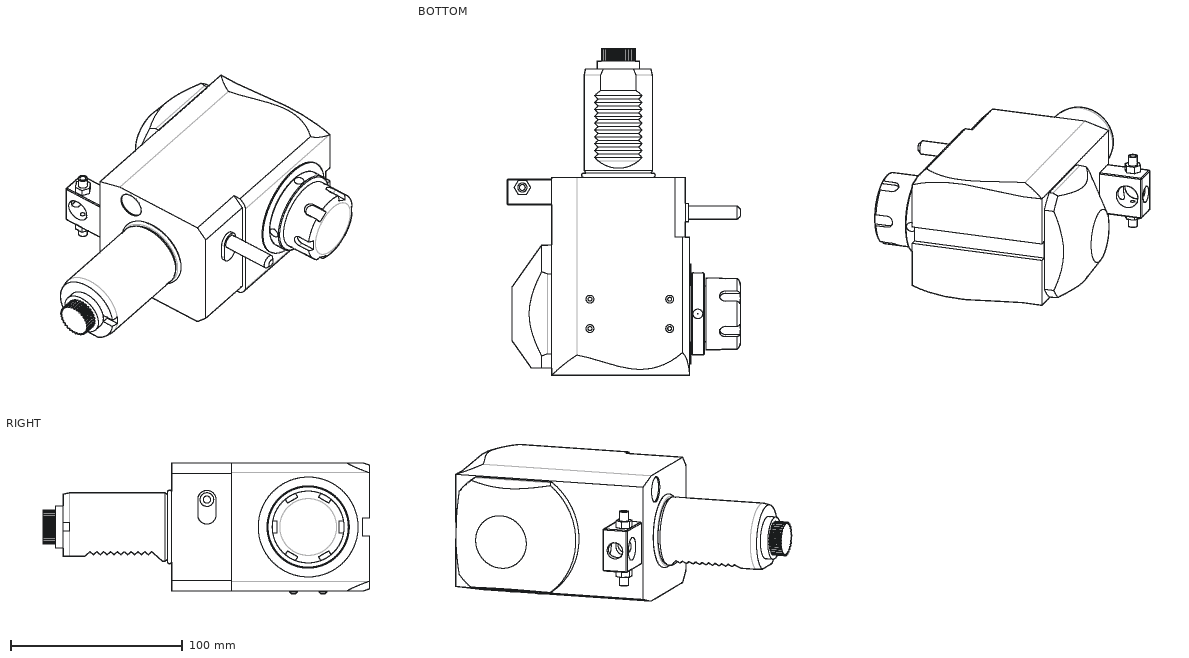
import cadquery as cq
import math


HALF_HEIGHT = 37.5
REAR_Y = 115.7
LEFT_X = -39.0
SIDE_SLOPE = 15.0
SLOPE_WIDTH = 14.7
STEP_Y = 35.0
FRONT_RIGHT_X = 39.2
FRONT_CHAMFER = 6.1
REAR_RIGHT_X = 41.6
REAR_CORNER_WIDTH = 4.2
REAR_CORNER_HEIGHT = 5.5
REAR_CORNER_BULGE = 0.8
SLOPE_END_X = LEFT_X + SLOPE_WIDTH
LEFT_HALF_HEIGHT = HALF_HEIGHT - SLOPE_WIDTH * math.tan(math.radians(SIDE_SLOPE))
REAR_CORNER_X = REAR_RIGHT_X - REAR_CORNER_WIDTH

RELIEF_RUN = 3.0
RELIEF_CREST_X = 12.5
RELIEF_CREST_Z = 36.3
RELIEF_RIGHT_Z = 33.0
RELIEF_END_Z = 31.0
REAR_SLOT_WIDTH = 10.3
REAR_SLOT_DEPTH = 4.0

PLUG_X = -16.0
PLUG_Z = 27.7
PLUG_RADIUS = 7.5
PLUG_DEPTH = 0.8

COLLAR_RADIUS = 21.5
COLLAR_LENGTH = 2.5
NECK_RADIUS = 19.1
NECK_END = 4.0
SHANK_RADIUS = 20.0
SHANK_END = 63.5
SHANK_TAPER_LENGTH = 3.6
SHANK_TIP_RADIUS = 19.3
BOSS_RADIUS = 12.5
BOSS_END = 68.0
SPLINE_END = 75.3
SPLINE_TEETH = 30
SPLINE_TIP_RADIUS = 10.0
SPLINE_ROOT_RADIUS = 9.2
SPLINE_TIP_SHARE = 0.3
SPLINE_ROOT_SHARE = 0.7
KEY_SLOT_WIDTH = 5.0
KEY_SLOT_DEPTH = 3.8

RACK_START = 5.3
RACK_FIRST_TOOTH = 11.7
RACK_PITCH = 4.0
RACK_TEETH = 9
RACK_ROOT_Z = -14.5
RACK_TIP_Z = -16.2
TAIL_FLAT_Z = -17.2
TAIL_FLAT_START = 50.8

SPINDLE_Y = 79.8
COVER_RADIUS = 40.3
COVER_RIM_X = -44.9
COVER_END_X = -62.3
COVER_END_RADIUS = 15.7
COVER_HALF_HEIGHT = 32.9
COVER_REAR = 31.7
COVER_CORNER = 7.3

BLOCK_END_X = -65.1
BLOCK_FRONT_Y = 1.0
BLOCK_REAR_Y = 16.0
BLOCK_HALF_HEIGHT = 12.6
BLOCK_CHAMFER = 0.5
NOZZLE_X = -56.2
NOZZLE_RADIUS = 6.7
BLOCK_BORE_RADIUS = 4.8
BLOCK_BORE_END_X = -45.8
COOLANT_RADIUS = 1.5
SCREW_Y = 6.0
SCREW_NUT_DIAMETER = 9.5
SCREW_NUT_HEIGHT = 4.0
SCREW_RADIUS = 2.7
SCREW_HALF_SPAN = 22.0
SCREW_SOCKET_RADIUS = 1.7
SCREW_SOCKET_DEPTH = 2.9
SCREW_BORE_RADIUS = 1.3
SCREW_BORE_HALF_SPAN = 9.5

FLANGE_RADIUS = 29.2
FLANGE_END_X = 42.4
RING_RADIUS = 24.0
RING_START_X = 42.8
RING_END_X = 50.2
RING_CHAMFER = 0.5
RING_HOLES = 4
RING_HOLE_RADIUS = 2.9
RING_HOLE_DEPTH = 3.8
RING_HOLE_TAPER = 35.0
SPINDLE_NECK_RADIUS = 16.5
NUT_RADIUS = 21.0
NUT_START_X = 51.2
NUT_END_X = 71.5
NUT_SHOULDER_X = 69.5
NUT_SHOULDER_BULGE = 0.5
NUT_FACE_RADIUS = 16.6
NUT_SLOTS = 6
NUT_SLOT_WIDTH = 6.9
NUT_SLOT_START_X = 59.2
NUT_SLOT_DEPTH = 2.9

PIN_Y = 20.6
PIN_Z = 16.0
PIN_RADIUS = 4.0
PIN_END_X = 71.5
PIN_TIP_LENGTH = 2.0
PIN_TIP_INSET = 2.0
PIN_PAD_RADIUS = 5.3
PIN_PAD_LENGTH = 9.0
PIN_PAD_THICKNESS = 2.0

RIVET_CENTER_X = 6.7
RIVET_SPACING_X = 46.6
RIVET_SPACING_Y = 17.2
RIVET_RADIUS = 2.3
RIVET_HEIGHT = 1.7
RIVET_CHAMFER = 1.1

OVERLAP = 1.0
CLEARANCE = 2.0


def cylinder_x(radius, x_start, x_end, y=SPINDLE_Y, z=0.0):
    return cq.Workplane("YZ", origin=(x_start, y, z)).circle(radius).extrude(x_end - x_start)


def cylinder_y(radius, y_start, y_end, x=0.0, z=0.0):
    """Cylinder running toward -Y from y_start to y_end."""
    return cq.Workplane("XZ", origin=(x, y_start, z)).circle(radius).extrude(y_start - y_end)


def both_halves(piece):
    return piece.union(piece.mirror("XY"))


def turn_about_spindle(piece, angle):
    return piece.rotate((0, SPINDLE_Y, 0), (1, SPINDLE_Y, 0), angle)


def left_half_outline(y):
    return (
        cq.Workplane("XZ", origin=(0, y, 0))
        .moveTo(0, 0)
        .lineTo(LEFT_X, 0)
        .lineTo(LEFT_X, LEFT_HALF_HEIGHT)
        .lineTo(SLOPE_END_X, HALF_HEIGHT)
    )


def rear_relief():
    """Space above the curved ramp at the rear edge of the top face."""
    top = HALF_HEIGHT + CLEARANCE
    far_left = LEFT_X - CLEARANCE
    far_right = REAR_RIGHT_X + CLEARANCE
    profile = (
        cq.Workplane("XZ", origin=(0, REAR_Y, 0))
        .moveTo(far_left, top)
        .lineTo(LEFT_X, LEFT_HALF_HEIGHT)
        .spline(
            [
                (SLOPE_END_X, LEFT_HALF_HEIGHT),
                (RELIEF_CREST_X, RELIEF_CREST_Z),
                (REAR_CORNER_X, RELIEF_RIGHT_Z),
                (far_right, RELIEF_END_Z),
            ],
            includeCurrent=True,
        )
        .lineTo(far_right, top)
        .close()
    )
    rise = HALF_HEIGHT - RELIEF_RIGHT_Z + CLEARANCE
    ramp = cq.Vector(0, -rise * RELIEF_RUN, rise)
    return cq.Workplane(cq.Solid.extrudeLinear(profile.val(), [], ramp))


def housing():
    front = (
        left_half_outline(STEP_Y)
        .lineTo(FRONT_RIGHT_X - FRONT_CHAMFER, HALF_HEIGHT)
        .lineTo(FRONT_RIGHT_X, HALF_HEIGHT - FRONT_CHAMFER)
        .lineTo(FRONT_RIGHT_X, 0)
        .close()
        .extrude(STEP_Y)
    )
    rear = (
        left_half_outline(REAR_Y)
        .lineTo(REAR_CORNER_X, HALF_HEIGHT)
        .sagittaArc((REAR_RIGHT_X, HALF_HEIGHT - REAR_CORNER_HEIGHT), REAR_CORNER_BULGE)
        .lineTo(REAR_RIGHT_X, 0)
        .close()
        .extrude(REAR_Y - STEP_Y)
        .cut(rear_relief())
    )
    slot_length = 2 * (REAR_RIGHT_X - LEFT_X)
    slot = (
        cq.Workplane()
        .box(slot_length, 2 * REAR_SLOT_DEPTH, REAR_SLOT_WIDTH)
        .translate((0, REAR_Y, 0))
    )
    plug = cylinder_y(PLUG_RADIUS, PLUG_DEPTH, 0, PLUG_X, PLUG_Z)
    return both_halves(front.union(rear)).cut(slot).cut(plug)


def rivets():
    rivet = (
        cq.Workplane("XY", origin=(RIVET_CENTER_X, SPINDLE_Y, -HALF_HEIGHT + OVERLAP))
        .rarray(RIVET_SPACING_X, RIVET_SPACING_Y, 2, 2)
        .circle(RIVET_RADIUS)
        .extrude(-RIVET_HEIGHT - OVERLAP)
    )
    return rivet.faces("<Z").edges().chamfer(RIVET_CHAMFER)


def shank_body():
    collar_root = COLLAR_RADIUS - COLLAR_LENGTH / 2
    profile = (
        cq.Workplane("XY")
        .moveTo(0, OVERLAP)
        .lineTo(collar_root, OVERLAP)
        .lineTo(collar_root, 0)
        .threePointArc((COLLAR_RADIUS, -COLLAR_LENGTH / 2), (collar_root, -COLLAR_LENGTH))
        .lineTo(NECK_RADIUS, -COLLAR_LENGTH)
        .lineTo(SHANK_RADIUS, -NECK_END)
        .lineTo(SHANK_RADIUS, SHANK_TAPER_LENGTH - SHANK_END)
        .lineTo(SHANK_TIP_RADIUS, -SHANK_END)
        .lineTo(0, -SHANK_END)
        .close()
    )
    return profile.revolve(360, (0, 0, 0), (0, 1, 0))


def rack_cut():
    """Everything below the toothed underside, across the whole shank width."""
    below = -COLLAR_RADIUS - CLEARANCE
    points = [(-RACK_START, below), (-RACK_START, -SHANK_RADIUS)]
    for tooth in range(RACK_TEETH):
        root_y = -RACK_FIRST_TOOTH - tooth * RACK_PITCH
        points.append((root_y + RACK_PITCH / 2, RACK_TIP_Z))
        points.append((root_y, RACK_ROOT_Z))
    last_tip_y = -RACK_FIRST_TOOTH - (RACK_TEETH - 0.5) * RACK_PITCH
    points.append((last_tip_y, RACK_TIP_Z))
    points.append((last_tip_y - RACK_PITCH / 2, RACK_ROOT_Z))
    points.append((-TAIL_FLAT_START, TAIL_FLAT_Z))
    points.append((-SHANK_END - CLEARANCE, TAIL_FLAT_Z))
    points.append((-SHANK_END - CLEARANCE, below))
    return cq.Workplane("YZ").polyline(points).close().extrude(SHANK_RADIUS + CLEARANCE, both=True)


def drive_spline():
    tooth_angle = 2 * math.pi / SPLINE_TEETH
    corners = [
        (SPLINE_ROOT_RADIUS, -SPLINE_ROOT_SHARE / 2),
        (SPLINE_TIP_RADIUS, -SPLINE_TIP_SHARE / 2),
        (SPLINE_TIP_RADIUS, SPLINE_TIP_SHARE / 2),
        (SPLINE_ROOT_RADIUS, SPLINE_ROOT_SHARE / 2),
    ]
    points = []
    for tooth in range(SPLINE_TEETH):
        for radius, offset in corners:
            angle = (tooth + offset) * tooth_angle
            points.append((radius * math.cos(angle), radius * math.sin(angle)))
    start = OVERLAP - BOSS_END
    return cq.Workplane("XZ", origin=(0, start, 0)).polyline(points).close().extrude(SPLINE_END + start)


def shank():
    key_slot = (
        cq.Workplane("XZ", origin=(0, -SHANK_END, 0))
        .moveTo(BOSS_RADIUS, -KEY_SLOT_WIDTH / 2)
        .rect(SHANK_RADIUS, KEY_SLOT_WIDTH, centered=False)
        .extrude(-KEY_SLOT_DEPTH)
    )
    boss = cylinder_y(BOSS_RADIUS, OVERLAP - SHANK_END, -BOSS_END)
    return shank_body().cut(rack_cut()).cut(key_slot).union(boss).union(drive_spline())


def cover():
    dome = (
        cq.Workplane("XY", origin=(0, SPINDLE_Y, 0))
        .moveTo(LEFT_X + OVERLAP, 0)
        .lineTo(LEFT_X + OVERLAP, COVER_RADIUS)
        .lineTo(COVER_RIM_X, COVER_RADIUS)
        .lineTo(COVER_END_X, COVER_END_RADIUS)
        .lineTo(COVER_END_X, 0)
        .close()
        .revolve(360, (0, 0, 0), (1, 0, 0))
    )
    depth = COVER_RADIUS + COVER_REAR
    trim = (
        cq.Workplane()
        .box(2 * abs(COVER_END_X), depth, 2 * COVER_HALF_HEIGHT)
        .translate((0, SPINDLE_Y + COVER_REAR - depth / 2, 0))
        .edges(">Y and |X")
        .chamfer(COVER_CORNER)
    )
    slope_drop = (LEFT_X - COVER_END_X) * math.tan(math.radians(SIDE_SLOPE))
    slope_wedge = both_halves(
        cq.Workplane("XZ", origin=(0, REAR_Y, 0))
        .moveTo(COVER_END_X, 0)
        .lineTo(COVER_END_X, LEFT_HALF_HEIGHT - slope_drop)
        .lineTo(LEFT_X, LEFT_HALF_HEIGHT)
        .lineTo(SLOPE_END_X, HALF_HEIGHT)
        .lineTo(SLOPE_END_X, 0)
        .close()
        .extrude(REAR_Y)
    )
    return dome.intersect(trim).intersect(slope_wedge)


def coolant_block():
    length = LEFT_X - BLOCK_END_X
    width = BLOCK_REAR_Y - BLOCK_FRONT_Y
    middle_y = (BLOCK_REAR_Y + BLOCK_FRONT_Y) / 2
    block = (
        cq.Workplane()
        .box(length, width, 2 * BLOCK_HALF_HEIGHT)
        .translate((BLOCK_END_X + length / 2, middle_y, 0))
        .faces("<X or <Z or >Z or >Y")
        .edges("not(>X)")
        .chamfer(BLOCK_CHAMFER)
    )
    screw = (
        cq.Workplane("XY", origin=(NOZZLE_X, SCREW_Y, BLOCK_HALF_HEIGHT - OVERLAP))
        .polygon(6, SCREW_NUT_DIAMETER)
        .extrude(SCREW_NUT_HEIGHT + OVERLAP)
        .union(
            cq.Workplane("XY", origin=(NOZZLE_X, SCREW_Y, BLOCK_HALF_HEIGHT))
            .circle(SCREW_RADIUS)
            .extrude(SCREW_HALF_SPAN - BLOCK_HALF_HEIGHT)
        )
        .faces(">Z")
        .workplane(origin=(NOZZLE_X, SCREW_Y, SCREW_HALF_SPAN))
        .circle(SCREW_SOCKET_RADIUS)
        .cutBlind(-SCREW_SOCKET_DEPTH)
    )
    screw_bore = (
        cq.Workplane("XY", origin=(NOZZLE_X, SCREW_Y, 0))
        .circle(SCREW_BORE_RADIUS)
        .extrude(SCREW_BORE_HALF_SPAN, both=True)
    )
    return (
        block.union(both_halves(screw))
        .cut(cylinder_y(NOZZLE_RADIUS, BLOCK_REAR_Y, BLOCK_FRONT_Y, NOZZLE_X))
        .cut(cylinder_x(BLOCK_BORE_RADIUS, BLOCK_END_X, BLOCK_BORE_END_X, middle_y))
        .cut(cylinder_x(COOLANT_RADIUS, BLOCK_BORE_END_X, LEFT_X, middle_y))
        .cut(screw_bore)
    )


def locking_ring():
    ring = cylinder_x(RING_RADIUS, RING_START_X, RING_END_X).edges().chamfer(RING_CHAMFER)
    hole = (
        cq.Workplane("XY", origin=((RING_START_X + RING_END_X) / 2, SPINDLE_Y, RING_RADIUS))
        .circle(RING_HOLE_RADIUS)
        .extrude(-RING_HOLE_DEPTH, taper=RING_HOLE_TAPER)
    )
    for index in range(RING_HOLES):
        ring = ring.cut(turn_about_spindle(hole, index * 360 / RING_HOLES))
    return ring


def clamping_nut():
    nut = (
        cq.Workplane("XY", origin=(0, SPINDLE_Y, 0))
        .moveTo(NUT_START_X, 0)
        .lineTo(NUT_START_X, NUT_RADIUS)
        .lineTo(NUT_SHOULDER_X, NUT_RADIUS)
        .sagittaArc((NUT_END_X, NUT_FACE_RADIUS), NUT_SHOULDER_BULGE)
        .lineTo(NUT_END_X, 0)
        .close()
        .revolve(360, (0, 0, 0), (1, 0, 0))
    )
    slot_radius = NUT_SLOT_WIDTH / 2
    slot_length = NUT_END_X - NUT_SLOT_START_X + slot_radius
    slot = (
        cq.Workplane("XZ", origin=(NUT_SLOT_START_X + slot_length / 2, SPINDLE_Y - NUT_RADIUS, 0))
        .slot2D(slot_length, NUT_SLOT_WIDTH)
        .extrude(-NUT_SLOT_DEPTH)
    )
    for index in range(NUT_SLOTS):
        nut = nut.cut(turn_about_spindle(slot, index * 360 / NUT_SLOTS))
    return nut


def spindle_nose():
    flange = cylinder_x(FLANGE_RADIUS, REAR_RIGHT_X - OVERLAP, FLANGE_END_X)
    neck = cylinder_x(SPINDLE_NECK_RADIUS, REAR_RIGHT_X - OVERLAP, NUT_START_X + OVERLAP)
    return flange.union(neck).union(locking_ring()).union(clamping_nut())


def torque_pin():
    start = FRONT_RIGHT_X - OVERLAP
    pad = (
        cq.Workplane("YZ", origin=(start, PIN_Y, PIN_Z - PIN_PAD_LENGTH / 2))
        .slot2D(PIN_PAD_LENGTH + 2 * PIN_PAD_RADIUS, 2 * PIN_PAD_RADIUS, 90)
        .extrude(PIN_PAD_THICKNESS + OVERLAP)
    )
    pin = (
        cylinder_x(PIN_RADIUS, start, PIN_END_X, PIN_Y, PIN_Z)
        .faces(">X")
        .edges()
        .chamfer(PIN_TIP_LENGTH, PIN_TIP_INSET)
    )
    return pad.union(pin)


result = (
    housing()
    .union(rivets())
    .union(shank())
    .union(cover())
    .union(coolant_block())
    .union(spindle_nose())
    .union(torque_pin())
)